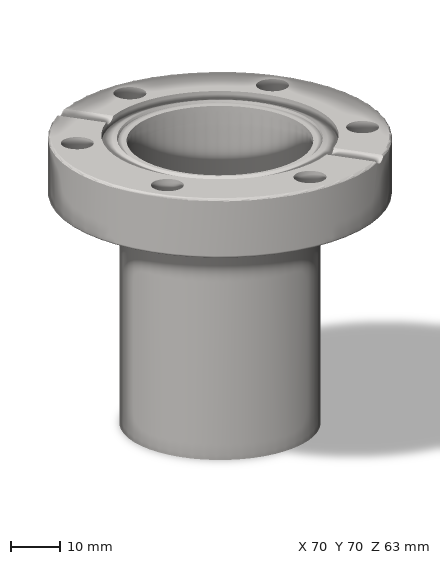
import cadquery as cq
import math

total_height = 63.0
flange_diameter = 70.0
flange_thickness = 13.0
flange_underside = total_height - flange_thickness
rim_fillet = 0.5

tube_outer_diameter = 41.0
bore_diameter = 38.0
tube_depth = 4.8
tube_top = total_height - tube_depth

recess_diameter = 48.3
recess_depth = 1.8
knife_diameter = 41.9
knife_slope = math.radians(20)
inner_land_diameter = 41.5
inner_land_depth = 1.2

bolt_count = 6
bolt_circle_diameter = 58.7
bolt_hole_diameter = 6.7
first_bolt_angle = 90.0

groove_width = 4.0
groove_depth = 1.0
groove_radius = (groove_width**2 / 4 + groove_depth**2) / (2 * groove_depth)


def make_flange_blank():
    """Revolve the flange section with its bore, tube socket and knife edge."""
    recess_floor = total_height - recess_depth
    knife_tip = recess_floor + (recess_diameter - knife_diameter) / 2 * math.tan(knife_slope)
    inner_land = total_height - inner_land_depth
    section = (
        cq.Workplane("XZ")
        .moveTo(tube_outer_diameter / 2, flange_underside)
        .lineTo(flange_diameter / 2 - rim_fillet, flange_underside)
        .radiusArc((flange_diameter / 2, flange_underside + rim_fillet), -rim_fillet)
        .lineTo(flange_diameter / 2, total_height - rim_fillet)
        .radiusArc((flange_diameter / 2 - rim_fillet, total_height), -rim_fillet)
        .lineTo(recess_diameter / 2, total_height)
        .lineTo(recess_diameter / 2, recess_floor)
        .lineTo(knife_diameter / 2, knife_tip)
        .lineTo(inner_land_diameter / 2, inner_land)
        .lineTo(bore_diameter / 2, inner_land)
        .lineTo(bore_diameter / 2, tube_top)
        .lineTo(tube_outer_diameter / 2, tube_top)
        .close()
    )
    return section.revolve(360, (0, 0, 0), (0, 1, 0))


def make_bolt_holes():
    return (
        cq.Workplane("XY", origin=(0, 0, flange_underside))
        .polarArray(bolt_circle_diameter / 2, first_bolt_angle, 360, bolt_count)
        .circle(bolt_hole_diameter / 2)
        .extrude(flange_thickness)
    )


def make_leak_groove(side):
    """Groove cutter from inside the recess, clear of the knife edge, out through the rim.

    side is +1 or -1 along X.
    """
    inner_end = (recess_diameter + knife_diameter) / 4
    axis_height = total_height - groove_depth + groove_radius
    return (
        cq.Workplane("YZ", origin=(side * inner_end, 0, 0))
        .center(0, axis_height)
        .circle(groove_radius)
        .extrude(side * (flange_diameter / 2 - inner_end))
    )


def make_flange():
    flange = make_flange_blank().cut(make_bolt_holes())
    for side in (-1, 1):
        flange = flange.cut(make_leak_groove(side))
    return flange


def make_tube():
    return (
        cq.Workplane("XY")
        .circle(tube_outer_diameter / 2)
        .circle(bore_diameter / 2)
        .extrude(tube_top)
    )


flange = make_flange()
tube = make_tube()

result = cq.Compound.makeCompound([flange.val(), tube.val()])